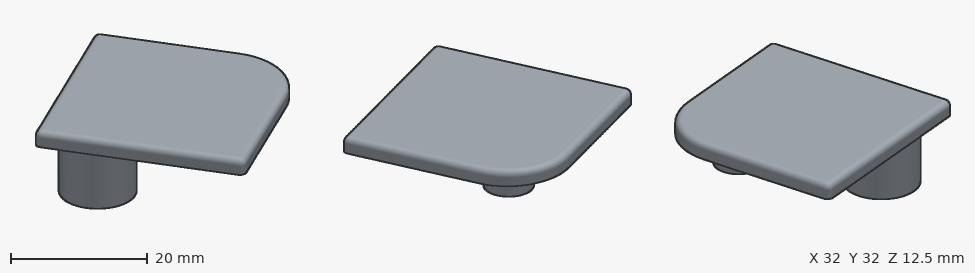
import cadquery as cq

side = 32.0
total_height = 12.5
plate_thickness = 2.5
large_corner_radius = 10.0
edge_radius = 1.0

large_pin_diameter = 11.5
large_pin_position = 7.5
large_pin_length = total_height - plate_thickness
small_pin_diameter = 7.5
small_pin_position = 22.5
small_pin_length = 4.8


def make_plate():
    """Square plate with one large corner at +X +Y and a rounded top rim."""
    plate = cq.Workplane("XY").box(side, side, plate_thickness, centered=False)
    plate = plate.edges("|Z").edges("not >(1,1,0)").fillet(edge_radius)
    plate = plate.edges("|Z").edges(">(1,1,0)").fillet(large_corner_radius)
    return plate.faces(">Z").edges().fillet(edge_radius)


def make_pin(diameter, length, position):
    """Round pin hanging from the underside, at equal X and Y."""
    return cq.Workplane("XY").center(position, position).circle(diameter / 2).extrude(-length)


large_pin = make_pin(large_pin_diameter, large_pin_length, large_pin_position)
small_pin = make_pin(small_pin_diameter, small_pin_length, small_pin_position)
result = make_plate().union(large_pin).union(small_pin)